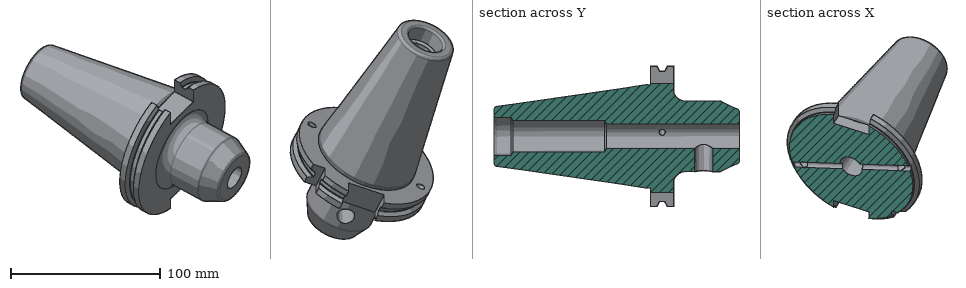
import cadquery as cq
import math

length = 164.8
gauge_x = 102.3
gauge_groove_x = 102.8
gauge_groove_wall = 0.5
flange_x = 105.0
flange_width = 15.8
flange_end_x = flange_x + flange_width
nose_x = 151.9

flange_dia = 97.5
gauge_dia = 69.9
gauge_groove_dia = 69.7
neck_dia = 47.6
taper_ratio = 7 / 24
nose_angle = 25.0

small_end_round = 2.1
nose_tip_round = 2.0
nose_shoulder_round = 1.5
groove_round = 0.5
neck_fillet = 8.5
neck_fillet_reach = 8.0

groove_x = 112.9
groove_width = 6.8
groove_floor_width = 3.5
groove_floor_dia = 91.3

entry_bore_dia = 25.0
entry_bore_depth = 11.5
bore_mouth_round = 1.5
middle_bore_dia = 21.0
middle_bore_depth = 74.1
step_angle = 30.0
through_bore_dia = 16.0

slot_width = 25.7
top_slot_height = 35.6
bottom_slot_height = 37.7
notch_offset = 30.0

coolant_angle = 20.0
coolant_radius = 42.0
coolant_tilt = 33.0
coolant_dia = 5.0
feed_dia = 4.1
screw_x = 140.7
screw_dia = 11.9


def rings_between(x_min, x_max):
    """Selector for the circular edges centred on the axis between two X stations."""
    margin = 0.02
    return cq.selectors.BoxSelector((x_min - margin, -margin, -margin), (x_max + margin, margin, margin))


def make_body():
    """Revolve the taper, flange, neck and nose about the X axis."""
    small_end_radius = (gauge_dia - gauge_x * taper_ratio) / 2
    neck_radius = neck_dia / 2
    nose_drop = (length - nose_x) * math.tan(math.radians(nose_angle))

    fillet_center_x = flange_end_x + neck_fillet_reach
    fillet_center_r = neck_radius + neck_fillet
    fillet_root_r = fillet_center_r - math.sqrt(neck_fillet**2 - neck_fillet_reach**2)
    start_angle = math.atan2(fillet_center_r - fillet_root_r, neck_fillet_reach)
    mid_angle = (start_angle + math.pi / 2) / 2
    fillet_mid = (
        fillet_center_x - neck_fillet * math.cos(mid_angle),
        fillet_center_r - neck_fillet * math.sin(mid_angle),
    )

    profile = (
        cq.Workplane("XY")
        .moveTo(0, 0)
        .lineTo(0, small_end_radius)
        .lineTo(gauge_x, gauge_dia / 2)
        .lineTo(gauge_groove_x, gauge_dia / 2)
        .lineTo(gauge_groove_x + gauge_groove_wall, gauge_groove_dia / 2)
        .lineTo(flange_x - gauge_groove_wall, gauge_groove_dia / 2)
        .lineTo(flange_x, gauge_dia / 2)
        .lineTo(flange_x, flange_dia / 2)
        .lineTo(groove_x - groove_width / 2, flange_dia / 2)
        .lineTo(groove_x - groove_floor_width / 2, groove_floor_dia / 2)
        .lineTo(groove_x + groove_floor_width / 2, groove_floor_dia / 2)
        .lineTo(groove_x + groove_width / 2, flange_dia / 2)
        .lineTo(flange_end_x, flange_dia / 2)
        .lineTo(flange_end_x, fillet_root_r)
        .threePointArc(fillet_mid, (fillet_center_x, neck_radius))
        .lineTo(nose_x, neck_radius)
        .lineTo(length, neck_radius - nose_drop)
        .lineTo(length, 0)
        .close()
    )
    body = profile.revolve(360, (0, 0, 0), (1, 0, 0))
    body = body.faces("<X").edges().fillet(small_end_round)
    body = body.faces(">X").edges().fillet(nose_tip_round)
    body = body.edges(rings_between(nose_x, nose_x)).fillet(nose_shoulder_round)
    half_floor = groove_floor_width / 2
    return body.edges(rings_between(groove_x - half_floor, groove_x + half_floor)).fillet(groove_round)


def stepped_bore():
    """Axial through bore whose two steps are cones leaning by step_angle."""
    slope = math.tan(math.radians(step_angle))
    entry_r = entry_bore_dia / 2
    middle_r = middle_bore_dia / 2
    through_r = through_bore_dia / 2
    return (
        cq.Workplane("XY")
        .moveTo(0, 0)
        .lineTo(0, entry_r)
        .lineTo(entry_bore_depth, entry_r)
        .lineTo(entry_bore_depth + (entry_r - middle_r) * slope, middle_r)
        .lineTo(middle_bore_depth, middle_r)
        .lineTo(middle_bore_depth + (middle_r - through_r) * slope, through_r)
        .lineTo(length, through_r)
        .lineTo(length, 0)
        .close()
        .revolve(360, (0, 0, 0), (1, 0, 0))
    )


def flange_block(y_min, y_max, z_min, z_max):
    """Box spanning the flange width, used to cut its rim."""
    return (
        cq.Workplane("XY")
        .box(flange_width, y_max - y_min, z_max - z_min, centered=False)
        .translate((flange_x, y_min, z_min))
    )


def coolant_passage():
    """Inward-tilted hole in the flange face and the radial hole it meets, on the +Y side."""
    tilt = math.radians(coolant_tilt)
    direction = cq.Vector(math.cos(tilt), -math.sin(tilt), 0)
    mouth = cq.Vector(flange_x, coolant_radius, 0)
    lead_in = coolant_dia
    coolant_length = (groove_x - flange_x) / math.cos(tilt)
    tilted = cq.Solid.makeCylinder(
        coolant_dia / 2, coolant_length + lead_in, mouth - direction * lead_in, direction
    )
    radial = cq.Solid.makeCylinder(
        feed_dia / 2, flange_dia / 2, cq.Vector(groove_x, 0, 0), cq.Vector(0, 1, 0)
    )
    return cq.Workplane(obj=tilted).union(cq.Workplane(obj=radial))


result = make_body()

result = result.cut(stepped_bore())
result = result.faces("<X").edges(cq.selectors.RadiusNthSelector(0)).fillet(bore_mouth_round)

rim = flange_dia / 2
result = result.cut(flange_block(-slot_width / 2, slot_width / 2, top_slot_height, rim))
result = result.cut(flange_block(-slot_width / 2, slot_width / 2, -rim, -bottom_slot_height))
result = result.cut(flange_block(notch_offset, rim, -rim, -notch_offset))

for turn in (0, 180):
    result = result.cut(coolant_passage().rotate((0, 0, 0), (1, 0, 0), coolant_angle + turn))

screw_hole = cq.Workplane("XY").center(screw_x, 0).circle(screw_dia / 2).extrude(-neck_dia / 2)
result = result.cut(screw_hole)